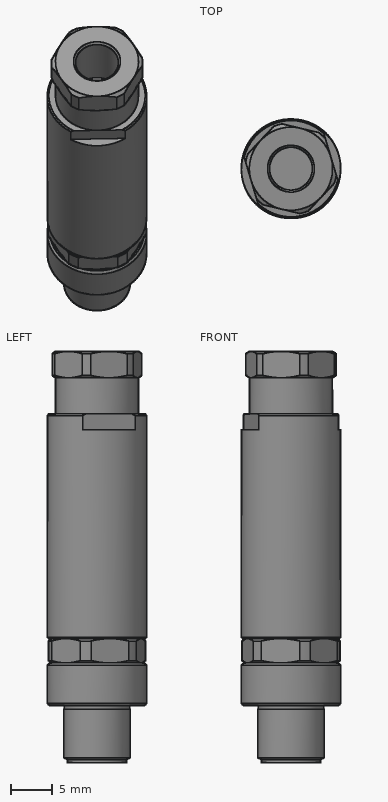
import cadquery as cq
import math

ASSEMBLY_ANGLE = 196.6

PLUG_LENGTH = 6.9
RING_LENGTH = 5.15
LOCK_HEX_LENGTH = 2.95
HOUSING_LENGTH = 27.1
NECK_LENGTH = 4.35
TOTAL_LENGTH = 49.6

RING_BOTTOM = PLUG_LENGTH
LOCK_HEX_BOTTOM = RING_BOTTOM + RING_LENGTH
HOUSING_BOTTOM = LOCK_HEX_BOTTOM + LOCK_HEX_LENGTH
HOUSING_TOP = HOUSING_BOTTOM + HOUSING_LENGTH
GLAND_HEX_BOTTOM = HOUSING_TOP + NECK_LENGTH
GLAND_HEX_LENGTH = TOTAL_LENGTH - GLAND_HEX_BOTTOM

HOUSING_RADIUS = 6.0
HOUSING_CHAMFER = 0.2
RING_CHAMFER = 0.3
HOUSING_FLAT_DISTANCE = 5.0
HOUSING_FLAT_LENGTH = 1.9

LOCK_HEX_ACROSS_FLATS = 10.9
LOCK_HEX_CORNER_RADIUS = 5.95

GLAND_HEX_ACROSS_FLATS = 10.0
GLAND_HEX_CORNER_RADIUS = 5.5
NECK_RADIUS = GLAND_HEX_ACROSS_FLATS / 2
BORE_RADIUS = 2.6
BORE_CHAMFER = 0.25

HEX_BEVEL_SLOPE = math.tan(math.radians(30))

PLUG_RADIUS = 4.0
COLLAR_RADIUS = 3.95
COLLAR_LENGTH = 0.45
TIP_RADIUS = 3.55
TIP_LENGTH = 0.35
TIP_BEVEL_LENGTH = 0.25
INSERT_PROJECTION = 0.05
INSERT_RADIUS = 3.05


def cylinder(radius, bottom, length):
    """Cylinder on the Z axis starting at height bottom."""
    return cq.Workplane("XY").workplane(offset=bottom).circle(radius).extrude(length)


def revolved(profile):
    """Solid of revolution about Z from (radius, z) points."""
    return cq.Workplane("XZ").polyline(profile).close().revolve(360, (0, 0), (0, 1))


def beveled_hex(across_flats, corner_radius, bottom, length):
    """Hexagonal prism with rounded corners, beveled down to its flats at both ends."""
    flat_distance = across_flats / 2
    bevel = (corner_radius - flat_distance) * HEX_BEVEL_SLOPE
    top = bottom + length
    envelope = revolved([
        (0, bottom),
        (flat_distance, bottom),
        (corner_radius, bottom + bevel),
        (corner_radius, top - bevel),
        (flat_distance, top),
        (0, top),
    ])
    prism = (
        cq.Workplane("XY").workplane(offset=bottom)
        .polygon(6, across_flats, circumscribed=True).extrude(length)
    )
    return prism.intersect(envelope)


def make_plug_sleeve():
    """Tube with a stepped, beveled tip and a slightly relieved collar below the coupling ring."""
    tip_top = INSERT_PROJECTION + TIP_LENGTH
    collar_bottom = PLUG_LENGTH - COLLAR_LENGTH
    sleeve = revolved([
        (0, INSERT_PROJECTION),
        (TIP_RADIUS, INSERT_PROJECTION),
        (TIP_RADIUS, tip_top),
        (PLUG_RADIUS, tip_top + TIP_BEVEL_LENGTH),
        (PLUG_RADIUS, collar_bottom),
        (COLLAR_RADIUS, collar_bottom),
        (COLLAR_RADIUS, PLUG_LENGTH),
        (0, PLUG_LENGTH),
    ])
    return sleeve.cut(cylinder(INSERT_RADIUS, 0, PLUG_LENGTH))


def make_insert():
    """Core filling the sleeve, projecting a little beyond its tip."""
    return cylinder(INSERT_RADIUS, 0, PLUG_LENGTH)


def make_coupling_ring():
    """Plain ring chamfered at both ends."""
    return cylinder(HOUSING_RADIUS, RING_BOTTOM, RING_LENGTH).edges().chamfer(RING_CHAMFER)


def make_lock_hex():
    """Hex between the coupling ring and the housing."""
    return beveled_hex(LOCK_HEX_ACROSS_FLATS, LOCK_HEX_CORNER_RADIUS, LOCK_HEX_BOTTOM, LOCK_HEX_LENGTH)


def make_housing():
    """Long cylinder with two opposite wrench flats at its top end."""
    body = cylinder(HOUSING_RADIUS, HOUSING_BOTTOM, HOUSING_LENGTH)
    body = body.edges().chamfer(HOUSING_CHAMFER)
    cutter_width = HOUSING_RADIUS
    for side in (-1, 1):
        flat_cut = (
            cq.Workplane("XY").workplane(offset=HOUSING_TOP - HOUSING_FLAT_LENGTH)
            .center(side * (HOUSING_FLAT_DISTANCE + cutter_width / 2), 0)
            .rect(cutter_width, 2 * HOUSING_RADIUS).extrude(HOUSING_FLAT_LENGTH)
        )
        body = body.cut(flat_cut)
    return body


def make_gland_nut():
    """Round neck with a hex head and a through bore."""
    neck = cylinder(NECK_RADIUS, HOUSING_TOP, NECK_LENGTH)
    head = beveled_hex(GLAND_HEX_ACROSS_FLATS, GLAND_HEX_CORNER_RADIUS, GLAND_HEX_BOTTOM, GLAND_HEX_LENGTH)
    bore = cylinder(BORE_RADIUS, HOUSING_TOP, TOTAL_LENGTH - HOUSING_TOP)
    nut = neck.union(head).cut(bore)
    bore_rim = nut.faces(">Z").edges("%CIRCLE").edges(cq.selectors.RadiusNthSelector(0))
    return bore_rim.chamfer(BORE_CHAMFER)


plug_sleeve = make_plug_sleeve()
insert = make_insert()
coupling_ring = make_coupling_ring()
lock_hex = make_lock_hex()
housing = make_housing()
gland_nut = make_gland_nut()

result = cq.Compound.makeCompound([
    plug_sleeve.val(),
    insert.val(),
    coupling_ring.val(),
    lock_hex.val(),
    housing.val(),
    gland_nut.val(),
]).rotate(cq.Vector(0, 0, 0), cq.Vector(0, 0, 1), ASSEMBLY_ANGLE)